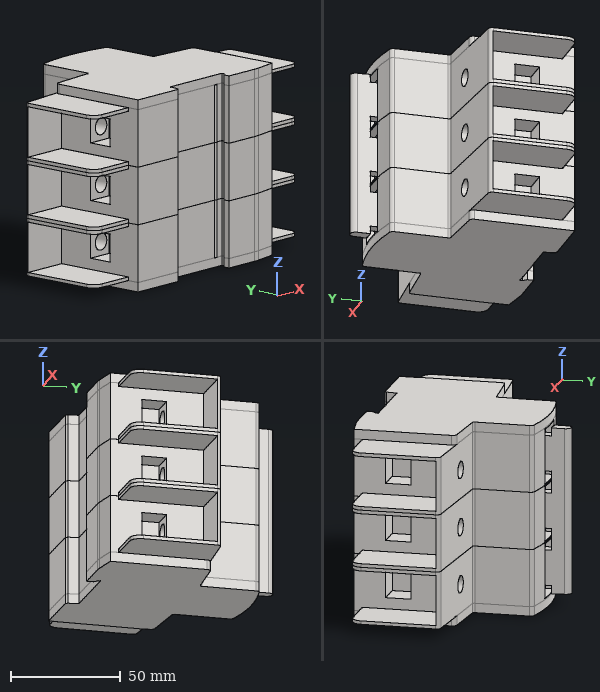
import cadquery as cq


POLE_COUNT = 3
POLE_PITCH = 27.0
CHEEK_THICKNESS = 4.5
SIDES = (-1, 1)
CUT_MARGIN = 1.4

BARRIER_HALF_WIDTH = 71.0
BODY_HALF_WIDTH = 47.7
COLUMN_HALF_WIDTH = 22.5
SHOULDER_HEIGHT = 51.7
SHOULDER_SLOPE = 0.078
COLUMN_CORNER_HEIGHT = 79.8
CROWN_HEIGHT = 82.5
OUTER_RADIUS = 2.0
INNER_RADIUS = 1.0

RAIL_DEPTH = 6.0
RAIL_WALL_TOP_X = -18.5
RAIL_WALL_FOOT_X = -19.2
RAIL_CHAMFER_X = -20.0
RAIL_CHAMFER_HEIGHT = 1.0
HOOK_X = 15.5
HOOK_HEIGHT = 3.1
NOTCH_X = 17.3
NOTCH_HEIGHT = 4.8
RIB_START_X = 12.4
RIB_END_X = 14.0
RIB_HEIGHT = 0.4

RELIEF_START_X = 34.8
RELIEF_RISE = 2.0
RELIEF_RADIUS = 20.0

BARRIER_THICKNESS = 1.7
BARRIER_CORNER_RADIUS = 5.0

WINDOW_BOTTOM = 16.9
WINDOW_HEIGHT = 11.8
WINDOW_LENGTH = 13.0
WINDOW_DEPTH = 12.8
SCREW_X = 40.5
SCREW_RADIUS = 4.0

SLOT_HALF_WIDTH = 8.5
SLOT_RIM = 0.5
SLOT_FLOOR = 78.1
HANDLE_TOP = 92.6
HANDLE_BOTTOM = 83.6
HANDLE_WIDTH = 5.7
HANDLE_LENGTH = 78.2
NECK_LENGTH = 16.8

WINDOW_TOP = WINDOW_BOTTOM + WINDOW_HEIGHT
ROW_HALF_LENGTH = POLE_COUNT * POLE_PITCH / 2
POLE_CENTRES = [(i + 0.5) * POLE_PITCH - ROW_HALF_LENGTH for i in range(POLE_COUNT)]
MIDDLE_POLE = POLE_COUNT // 2


def shoulder_height(distance):
    """Height of the sloping shoulder at a distance from the centre plane."""
    return SHOULDER_HEIGHT - SHOULDER_SLOPE * (distance - COLUMN_HALF_WIDTH)


def block(x_range, y_range, z_centre, z_length):
    """Rectangular block, centred along Z on z_centre."""
    x0, x1 = x_range
    y0, y1 = y_range
    centre = ((x0 + x1) / 2, (y0 + y1) / 2, z_centre)
    return cq.Workplane("XY").box(abs(x1 - x0), y1 - y0, z_length).translate(centre)


def fillet_corners(solid, corners, radius):
    """Round the Z-parallel edges that stand on the given profile corners."""
    for corner in corners:
        z_middle = solid.val().Center().z
        nearest = cq.selectors.NearestToPointSelector((*corner, z_middle))
        solid = solid.edges("|Z").edges(nearest).fillet(radius)
    return solid


def body_slice(z_start, z_length):
    """Length of the T-shaped body profile, with its rail recess and rounded corners."""
    edge_height = shoulder_height(BODY_HALF_WIDTH)
    body = (
        cq.Workplane("XY", origin=(0, 0, z_start))
        .moveTo(-BODY_HALF_WIDTH, 0)
        .lineTo(RAIL_CHAMFER_X, 0)
        .lineTo(RAIL_WALL_FOOT_X, RAIL_CHAMFER_HEIGHT)
        .lineTo(RAIL_WALL_TOP_X, RAIL_DEPTH)
        .lineTo(NOTCH_X, RAIL_DEPTH)
        .lineTo(NOTCH_X, NOTCH_HEIGHT)
        .lineTo(HOOK_X, HOOK_HEIGHT)
        .lineTo(HOOK_X, 0)
        .lineTo(RELIEF_START_X, 0)
        .lineTo(BODY_HALF_WIDTH, RELIEF_RISE)
        .lineTo(BODY_HALF_WIDTH, edge_height)
        .lineTo(COLUMN_HALF_WIDTH, SHOULDER_HEIGHT)
        .lineTo(COLUMN_HALF_WIDTH, COLUMN_CORNER_HEIGHT)
        .threePointArc((0, CROWN_HEIGHT), (-COLUMN_HALF_WIDTH, COLUMN_CORNER_HEIGHT))
        .lineTo(-COLUMN_HALF_WIDTH, SHOULDER_HEIGHT)
        .lineTo(-BODY_HALF_WIDTH, edge_height)
        .close()
        .extrude(z_length)
    )
    shoulder_edges = [(side * BODY_HALF_WIDTH, edge_height) for side in SIDES]
    column_corners = [(side * COLUMN_HALF_WIDTH, COLUMN_CORNER_HEIGHT) for side in SIDES]
    column_feet = [(side * COLUMN_HALF_WIDTH, SHOULDER_HEIGHT) for side in SIDES]
    body = fillet_corners(body, shoulder_edges + column_corners, OUTER_RADIUS)
    body = fillet_corners(body, column_feet, INNER_RADIUS)
    return fillet_corners(body, [(RELIEF_START_X, 0)], RELIEF_RADIUS)


def barrier_wing(side, z_centre):
    """Phase barriers on one side: two side walls and a wall under the shoulder slope."""
    root = side * COLUMN_HALF_WIDTH
    tip = side * BARRIER_HALF_WIDTH
    tip_height = shoulder_height(BARRIER_HALF_WIDTH)
    wing = (
        cq.Workplane("XY", origin=(0, 0, z_centre))
        .polyline([(root, RAIL_DEPTH), (tip, RAIL_DEPTH), (tip, tip_height), (root, SHOULDER_HEIGHT)])
        .close()
        .extrude(POLE_PITCH / 2, both=True)
    )
    wing = fillet_corners(wing, [(tip, RAIL_DEPTH)], BARRIER_CORNER_RADIUS)
    wing = fillet_corners(wing, [(tip, tip_height)], OUTER_RADIUS)

    bay_x = (side * BODY_HALF_WIDTH, side * (BARRIER_HALF_WIDTH + CUT_MARGIN))
    bay_y = (RAIL_DEPTH - CUT_MARGIN, tip_height - BARRIER_THICKNESS)
    bay = block(bay_x, bay_y, z_centre, POLE_PITCH - 2 * BARRIER_THICKNESS)
    return wing.cut(bay)


def rail_rib(z_centre):
    """Low rounded rib on the floor of the rail recess."""
    crest = ((RIB_START_X + RIB_END_X) / 2, RAIL_DEPTH - RIB_HEIGHT)
    return (
        cq.Workplane("XY", origin=(0, 0, z_centre))
        .moveTo(RIB_START_X, RAIL_DEPTH)
        .threePointArc(crest, (RIB_END_X, RAIL_DEPTH))
        .close()
        .extrude(POLE_PITCH / 2, both=True)
    )


def terminal_cutter(side, z_centre):
    """Rectangular terminal pocket, with the screw hole that reaches it from the shoulder."""
    pocket_x = (side * (BODY_HALF_WIDTH - WINDOW_DEPTH), side * BODY_HALF_WIDTH)
    pocket = block(pocket_x, (WINDOW_BOTTOM, WINDOW_TOP), z_centre, WINDOW_LENGTH)
    screw_hole = (
        cq.Workplane("XZ", origin=(side * SCREW_X, SHOULDER_HEIGHT, z_centre))
        .circle(SCREW_RADIUS)
        .extrude(SHOULDER_HEIGHT - WINDOW_TOP)
    )
    return pocket.union(screw_hole)


def handle_slot(z_centre):
    """Cutter for the slot in the crown, leaving a thin rim at both ends of the pole."""
    slot_x = (-SLOT_HALF_WIDTH, SLOT_HALF_WIDTH)
    slot_y = (SLOT_FLOOR, CROWN_HEIGHT + CUT_MARGIN)
    return block(slot_x, slot_y, z_centre, POLE_PITCH - 2 * SLOT_RIM)


def make_pole(z_centre):
    pole = body_slice(z_centre - POLE_PITCH / 2, POLE_PITCH)
    pole = pole.union(rail_rib(z_centre))
    for side in SIDES:
        pole = pole.union(barrier_wing(side, z_centre))
        pole = pole.cut(terminal_cutter(side, z_centre))
    return pole.cut(handle_slot(z_centre))


def handle():
    """Round-topped tie bar, with a neck down to the slot floor of every pole."""
    half_width = HANDLE_WIDTH / 2
    round_start = HANDLE_TOP - half_width
    bar = (
        cq.Workplane("XY")
        .moveTo(-half_width, HANDLE_BOTTOM)
        .lineTo(half_width, HANDLE_BOTTOM)
        .lineTo(half_width, round_start)
        .threePointArc((0, HANDLE_TOP), (-half_width, round_start))
        .close()
        .extrude(HANDLE_LENGTH / 2, both=True)
    )
    for z_centre in POLE_CENTRES:
        neck = block((-half_width, half_width), (SLOT_FLOOR, HANDLE_BOTTOM), z_centre, NECK_LENGTH)
        bar = bar.union(neck)
    return bar


poles = [make_pole(z_centre) for z_centre in POLE_CENTRES]

poles[0] = poles[0].union(body_slice(-ROW_HALF_LENGTH - CHEEK_THICKNESS, CHEEK_THICKNESS), clean=False)
poles[-1] = poles[-1].union(body_slice(ROW_HALF_LENGTH, CHEEK_THICKNESS), clean=False)

poles[MIDDLE_POLE] = poles[MIDDLE_POLE].union(handle())

result = cq.Compound.makeCompound([pole.val() for pole in poles])